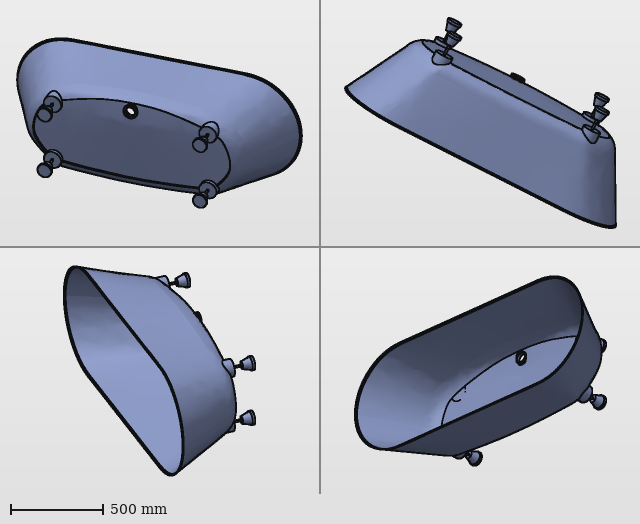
import cadquery as cq
import math

LENGTH = 1651.77
WIDTH = 650.17
DEPTH = 570.0
WALL = 5.0

RIM_Y = DEPTH / 2
RIM_BAND_Y = RIM_Y - 9.0
SEAM_Y = -58.0
SOCKET_TOP_Y = -89.0
KNEE_Y = -105.0
FLOOR_Y = -137.0
FLOOR_LOW_Y = FLOOR_Y - 8.5
SOCKET_END_Y = -161.0
CONE_TOP_Y = -221.0
PAD_TOP_Y = -270.0
FOOT_END_Y = -DEPTH / 2

RIM_END_DRAW = 5.0
RIM_SIDE_DRAW = 3.0
RIM_ARC_STEPS = 3
RIM_STRAIGHT_STEPS = 2

SEAM_END = 643.0
SEAM_UPPER = [(625, 90), (570, 179), (445, 249), (220, 285), (0, 296)]
SEAM_LOWER = [(612, -114), (500, -230), (398, -258), (184, -272), (0, -275)]
KNEE_END = 616.0
KNEE_UPPER = [(600, 90), (545, 172), (425, 235), (210, 272), (0, 283)]
KNEE_LOWER = [(585, -105), (478, -212), (385, -243), (180, -256), (0, -260)]
FLOOR_END = 572.0
FLOOR_UPPER = [(539, 112), (495, 159), (403, 199), (196, 252), (0, 267)]
FLOOR_LOWER = [(557, -70), (495, -152), (403, -190), (180, -207), (0, -212)]

FOOT_X = 450.0
FOOT_Z = 176.0
SOCKET_RADIUS = 50.0
ROD_RADIUS = 6.0
CONE_TOP_RADIUS = 22.0
CONE_BASE_RADIUS = 37.0
PAD_RADIUS = 40.0
FOOT_PLACES = [(x, z) for x in (-FOOT_X, FOOT_X) for z in (-FOOT_Z, FOOT_Z)]

DRAIN_Z = 222.0
DRAIN_BORE_RADIUS = 28.0
DRAIN_NECK_RADIUS = 35.0
DRAIN_FLANGE_RADIUS = 40.0
DRAIN_FLANGE_THICKNESS = 10.0

FLOOR_LOW_X = 270.0
FLOOR_LOW_Z = 50.0
FLOOR_LOW_PLACES = [(0, DRAIN_Z), (-FLOOR_LOW_X, FLOOR_LOW_Z), (FLOOR_LOW_X, FLOOR_LOW_Z)]


def half_outline(end, points, y):
    """Smooth edge from the -X end, over one long side, to the +X end."""
    left = [(-x, z) for x, z in points]
    right = [(x, z) for x, z in reversed(points[:-1])]
    corners = [(-end, 0), *left, *right, (end, 0)]
    spans = len(corners) - 1
    end_speed = spans * points[0][1]
    return cq.Edge.makeSpline(
        [cq.Vector(x, y, z) for x, z in corners],
        tangents=[cq.Vector(0, 0, end_speed), cq.Vector(0, 0, -end_speed)],
        parameters=[i / spans for i in range(spans + 1)],
        scale=False,
    )


def outline(end, upper, lower, y, inset=0.0):
    """Closed outline at level y, drawn in towards its middle by the inset."""
    length_factor = 1 - inset / end

    def drawn_in(points):
        width_factor = 1 - inset / abs(points[-1][1])
        return [(x * length_factor, z * width_factor) for x, z in points]

    upper_edge = half_outline(end - inset, drawn_in(upper), y)
    lower_edge = half_outline(end - inset, drawn_in(lower), y)
    return cq.Wire.assembleEdges([upper_edge, lower_edge])


def wall_top_outline(inset):
    """Top of the wall: half circles joined by straight sides, as two smooth edges."""
    radius = WIDTH / 2 - RIM_SIDE_DRAW - inset
    end = LENGTH / 2 - RIM_END_DRAW - inset
    straight = end - radius
    angles = [math.pi / 2 * i / RIM_ARC_STEPS for i in range(1, RIM_ARC_STEPS + 1)]
    upper = [(straight + radius * math.cos(a), radius * math.sin(a)) for a in angles]
    straight_steps = range(1, RIM_STRAIGHT_STEPS + 1)
    upper += [(straight * (1 - i / RIM_STRAIGHT_STEPS), radius) for i in straight_steps]
    lower = [(x, -z) for x, z in upper]
    return outline(end, upper, lower, RIM_BAND_Y)


def floor_outline(inset):
    """Edge of the floor."""
    return outline(FLOOR_END, FLOOR_UPPER, FLOOR_LOWER, FLOOR_Y + inset, inset)


def rim_band(inset):
    """Short band between the open edge and the top of the wall."""

    def oval(y, draw_x, draw_z):
        length = LENGTH - 2 * (draw_x + inset)
        width = WIDTH - 2 * (draw_z + inset)
        return cq.Workplane("XZ", origin=(0, y, 0)).slot2D(length, width).wires().val()

    open_edge = oval(RIM_Y, 0, 0)
    wall_edge = oval(RIM_BAND_Y, RIM_END_DRAW, RIM_SIDE_DRAW)
    return cq.Workplane(cq.Solid.makeLoft([open_edge, wall_edge], True))


def wall_and_knee(inset):
    """Sloping wall down to the seam, then the rounded knee down to the floor."""
    seam = outline(SEAM_END, SEAM_UPPER, SEAM_LOWER, SEAM_Y, inset)
    knee = outline(KNEE_END, KNEE_UPPER, KNEE_LOWER, KNEE_Y + inset, inset)
    wall = cq.Solid.makeLoft([wall_top_outline(inset), seam], True)
    rounding = cq.Solid.makeLoft([seam, knee, floor_outline(inset)], False)
    return cq.Workplane(wall).union(cq.Workplane(rounding))


def floor_bulge(inset):
    """Shallow swelling below the edge of the floor."""
    edge = floor_outline(inset)
    low_points = [cq.Vector(x, FLOOR_LOW_Y + inset, z) for x, z in FLOOR_LOW_PLACES]
    curved = cq.Face.makeNSidedSurface(edge.Edges(), low_points)
    flat = cq.Face.makeFromWires(edge)
    return cq.Workplane(cq.Solid.makeSolid(cq.Shell.makeShell([curved, flat])).fix())


def disc(x, z, radius, top_y, end_y):
    """Cylinder along Y."""
    return cq.Workplane("XZ", origin=(x, top_y, z)).circle(radius).extrude(top_y - end_y)


def foot(x, z):
    """Rod with a conical foot and its round pad."""
    rod = disc(x, z, ROD_RADIUS, SOCKET_END_Y, CONE_TOP_Y)
    cone = cq.Solid.makeCone(
        CONE_TOP_RADIUS,
        CONE_BASE_RADIUS,
        CONE_TOP_Y - PAD_TOP_Y,
        pnt=cq.Vector(x, CONE_TOP_Y, z),
        dir=cq.Vector(0, -1, 0),
    )
    pad = disc(x, z, PAD_RADIUS, PAD_TOP_Y, FOOT_END_Y)
    return rod.union(cq.Workplane(cone)).union(pad)


def make_tub():
    """Thin bath with four sockets below its floor and a foot in each."""
    tub = wall_and_knee(0).union(rim_band(0)).union(floor_bulge(0))
    for x, z in FOOT_PLACES:
        tub = tub.union(disc(x, z, SOCKET_RADIUS, SOCKET_TOP_Y, SOCKET_END_Y))
    tub = tub.cut(wall_and_knee(WALL)).cut(rim_band(WALL)).cut(floor_bulge(WALL))
    for x, z in FOOT_PLACES:
        tub = tub.union(foot(x, z))
    return tub.cut(disc(0, DRAIN_Z, DRAIN_NECK_RADIUS, FLOOR_Y + 2 * WALL, SOCKET_END_Y))


def make_drain():
    """Flanged ring whose neck fills the hole in the floor."""
    neck_top_y = FLOOR_LOW_Y + WALL
    flange_top_y = SOCKET_END_Y + DRAIN_FLANGE_THICKNESS
    neck = disc(0, DRAIN_Z, DRAIN_NECK_RADIUS, neck_top_y, SOCKET_END_Y)
    flange = disc(0, DRAIN_Z, DRAIN_FLANGE_RADIUS, flange_top_y, SOCKET_END_Y)
    bore = disc(0, DRAIN_Z, DRAIN_BORE_RADIUS, neck_top_y, SOCKET_END_Y)
    return neck.union(flange).cut(bore)


tub = make_tub()
drain = make_drain()
result = cq.Compound.makeCompound([tub.val(), drain.val()])